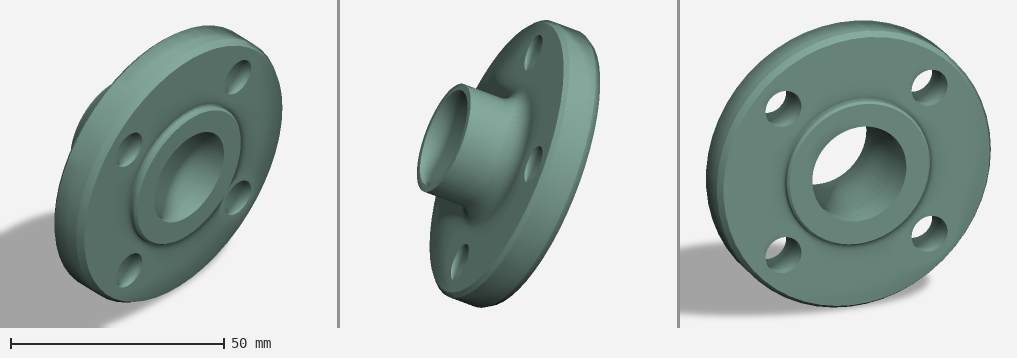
import cadquery as cq
import math


overall_length = 25.5
flange_back_x = 14.0
raised_face_height = 1.8
flange_front_x = overall_length - raised_face_height

bore_radius = 23.7 / 2
neck_radius = 26.9 / 2
raised_face_radius = 36.0 / 2
flange_radius = 69.0 / 2

neck_fillet = 4.0
back_chamfer = 1.0
front_chamfer_length = 1.7
front_chamfer_depth = 1.0
face_root_fillet = 0.4
face_chamfer = 0.5

bolt_hole_diameter = 9.0
bolt_circle_diameter = 52.0
bolt_count = 4
first_bolt_angle = 180 / bolt_count

arc_mid = 1 - math.sqrt(0.5)


def flange_body():
    """Revolve the half section (X along the axis, Y radial) about the X axis."""
    section = (
        cq.Workplane("XY")
        .moveTo(0, bore_radius)
        .lineTo(0, neck_radius)
        .lineTo(flange_back_x - neck_fillet, neck_radius)
        .threePointArc(
            (flange_back_x - neck_fillet * arc_mid, neck_radius + neck_fillet * arc_mid),
            (flange_back_x, neck_radius + neck_fillet),
        )
        .lineTo(flange_back_x, flange_radius - back_chamfer)
        .lineTo(flange_back_x + back_chamfer, flange_radius)
        .lineTo(flange_front_x - front_chamfer_length, flange_radius)
        .lineTo(flange_front_x, flange_radius - front_chamfer_depth)
        .lineTo(flange_front_x, raised_face_radius + face_root_fillet)
        .threePointArc(
            (flange_front_x + face_root_fillet * arc_mid, raised_face_radius + face_root_fillet * arc_mid),
            (flange_front_x + face_root_fillet, raised_face_radius),
        )
        .lineTo(overall_length - face_chamfer, raised_face_radius)
        .lineTo(overall_length, raised_face_radius - face_chamfer)
        .lineTo(overall_length, bore_radius)
        .close()
    )
    return section.revolve(360, (0, 0, 0), (1, 0, 0))


def bolt_holes():
    """Cylinders along X, evenly spaced on the bolt circle, spanning the flange."""
    return (
        cq.Workplane("YZ", origin=(flange_back_x, 0, 0))
        .polarArray(bolt_circle_diameter / 2, first_bolt_angle, 360, bolt_count)
        .circle(bolt_hole_diameter / 2)
        .extrude(flange_front_x - flange_back_x)
    )


result = flange_body().cut(bolt_holes())